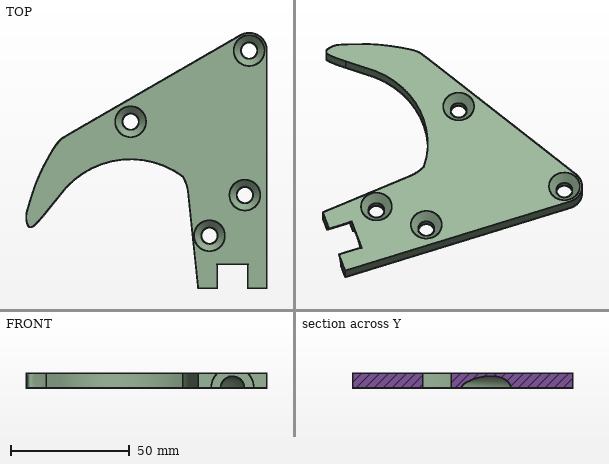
import cadquery as cq
import math

thickness = 6.35
length = 107.63

foot_width = 29.0
arm_lean = math.radians(6)
arm_straight_height = 40.5
back_slope = math.radians(30)
back_slope_end = 65.0
top_radius = 7.5
mouth_center = (-57.4, 17.5)
mouth_radius = 36.85
mouth_left = -87.3
mouth_right = -35.45
claw_inner_angle = math.radians(51)
claw_points = [
    (-87.0, 62.6),
    (-90.0, 58.7),
    (-94.3, 51.0),
    (-97.8, 43.0),
    (-100.5, 34.5),
    (-101.32, 28.7),
    (-99.9, 25.75),
    (-96.7, 27.7),
    (-93.0, 32.0),
]

screw_diameter = 6.76
sink_diameter = 13.0
sink_angle = 82
top_center = (-top_radius, length - top_radius)
screw_centers = [top_center, (mouth_center[0], 70.2), (-9.3, 39.3), (-24.2, 22.2)]

socket_x = -foot_width / 2
socket_radius = 9.0
socket_depth = 10.1
channel_radius = 5.0
channel_sweep = 90


def mouth_point(x):
    """Point at a given X on the upper half of the opening's circle."""
    return (x, mouth_center[1] + math.sqrt(mouth_radius**2 - (x - mouth_center[0]) ** 2))


def bend_middle(start, end):
    """Middle of the arc that leaves start along the leaning arm edge and reaches end."""
    dx, dy = end[0] - start[0], end[1] - start[1]
    chord = math.hypot(dx, dy)
    chord_direction = math.atan2(dy, dx)
    half_turn = chord_direction - (math.pi / 2 + arm_lean)
    rise = chord / 2 * math.tan(half_turn / 2)
    return (
        (start[0] + end[0]) / 2 + rise * math.sin(chord_direction),
        (start[1] + end[1]) / 2 - rise * math.cos(chord_direction),
    )


def make_plate():
    """Flat plate: sloping back, hooked claw, round opening, leaning arm and square foot."""
    slope_start = (
        top_center[0] - top_radius * math.sin(back_slope),
        top_center[1] + top_radius * math.cos(back_slope),
    )
    top_middle_angle = (math.pi / 2 + back_slope) / 2
    top_middle = (
        top_center[0] + top_radius * math.cos(top_middle_angle),
        top_center[1] + top_radius * math.sin(top_middle_angle),
    )
    slope_end = (slope_start[0] - (slope_start[1] - back_slope_end) / math.tan(back_slope), back_slope_end)
    slope_direction = (-math.cos(back_slope), -math.sin(back_slope))

    claw_root = mouth_point(mouth_left)
    claw_root_direction = (math.cos(claw_inner_angle), math.sin(claw_inner_angle))
    mouth_top = mouth_point(mouth_center[0])
    armpit = mouth_point(mouth_right)
    arm_bend = (-foot_width - arm_straight_height * math.tan(arm_lean), arm_straight_height)

    return (
        cq.Workplane("XY")
        .moveTo(*slope_end)
        .spline(
            [*claw_points, claw_root],
            tangents=[slope_direction, claw_root_direction],
            includeCurrent=True,
        )
        .threePointArc(mouth_top, armpit)
        .threePointArc(bend_middle(arm_bend, armpit), arm_bend)
        .lineTo(-foot_width, 0)
        .lineTo(0, 0)
        .lineTo(0, top_center[1])
        .threePointArc(top_middle, slope_start)
        .close()
        .extrude(thickness)
    )


def cut_screw_holes(plate):
    return (
        plate.faces(">Z")
        .workplane(origin=(0, 0, thickness))
        .pushPoints(screw_centers)
        .cskHole(screw_diameter, sink_diameter, sink_angle)
    )


def cut_socket(plate):
    """Round socket along Y; it breaks through the top face and splits the foot."""
    foot_plane = cq.Workplane("XZ", origin=(socket_x, 0, 0))
    return plate.cut(foot_plane.circle(socket_radius).extrude(-socket_depth))


def cut_channel(plate):
    """Channel that leaves the socket straight, then turns around the centre of the opening."""
    turn_start = mouth_center[1]
    turn_radius = socket_x - mouth_center[0]
    straight = cq.Workplane("XZ", origin=(socket_x, 0, 0)).circle(channel_radius).extrude(-turn_start)
    turn = (
        cq.Workplane("XZ", origin=(*mouth_center, 0))
        .center(turn_radius, 0)
        .circle(channel_radius)
        .revolve(channel_sweep, (-turn_radius, 0), (-turn_radius, 1))
    )
    return plate.cut(straight).cut(turn)


result = cut_channel(cut_socket(cut_screw_holes(make_plate())))